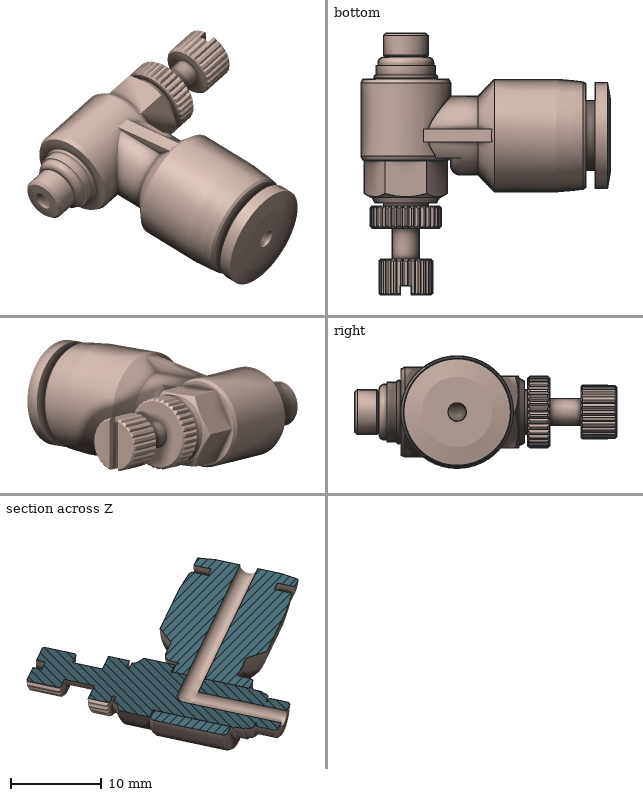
import cadquery as cq
import math


barrel_radius = 5.0
barrel_top = 2.74
barrel_bottom = -6.25
barrel_bevel_width = 0.23
barrel_bevel_height = 0.45

neck_radius = 4.4
neck_end_x = 4.98
neck_end_round = 1.1
neck_ledge_y = 2.5
shoulder_start_x = 8.03
shoulder_end_x = 9.85
socket_radius = 6.25
taper_start_x = 16.75
taper_end_x = 18.75
taper_end_radius = 6.08
rim_start_x = 19.7
rim_start_radius = 5.97
rim_end_x = 20.0
rim_end_radius = 5.75
collar_neck_radius = 3.9
collar_start_x = 21.05
collar_radius = 5.9
collar_bevel_x = 22.4
collar_end_x = 22.75

rib_width = 1.48
rib_start_x = 1.98
rib_slope = math.radians(10)

valve_length = 29.1
valve_bottom = -11.38
thread_radius = 2.5
thread_bevel = 0.3
thread_top = -8.8
thread_top_bevel = 0.15
undercut_radius = 1.92
gasket_bottom = -8.7
gasket_radius = 3.1
gasket_round = 0.67
stud_radius = 3.32
stud_bottom = -7.8
bead_size = 0.23
hex_bottom = 2.82
hex_top = 6.87
hex_across_flats = 8.0
hex_bevel_start_radius = 3.87
hex_bevel_slope = math.radians(30)
cap_bottom_radius = 3.75
cap_top_radius = 3.43
cap_top = 7.48
nut_seat_radius = 2.5
nut_bottom = 7.8
nut_top = 10.3
nut_radius = 4.0
nut_bevel = 0.25
stem_radius = 1.5
head_bottom = 13.74
head_radius = 3.0
head_bevel = 0.2
valve_top = valve_bottom + valve_length

nut_groove_count = 34
nut_groove_width = 0.52
nut_groove_depth = 0.25
head_groove_count = 24
head_groove_width = 0.45
head_groove_depth = 0.2
slot_width = 1.2
slot_depth = 1.02

passage_radius = 1.02


def plane_across_valve(y):
    """Workplane at level y on the valve axis, with local x along X and its normal along +Y."""
    return cq.Workplane(cq.Plane(origin=(0, y, 0), xDir=(1, 0, 0), normal=(0, 1, 0)))


def revolve_about_y(profile):
    return profile.close().revolve(360, (0, 0, 0), (0, 1, 0))


def revolve_about_x(profile):
    return profile.close().revolve(360, (0, 0, 0), (1, 0, 0))


def make_passage():
    """Bore from the threaded end up to the tube axis, then out along X, with a ball-shaped corner."""
    inlet = plane_across_valve(valve_bottom).circle(passage_radius).extrude(-valve_bottom)
    corner = cq.Workplane("XY").sphere(passage_radius)
    outlet = cq.Workplane("YZ").circle(passage_radius).extrude(collar_end_x)
    return inlet.union(corner).union(outlet)


def make_barrel():
    bevel_radius = barrel_radius - barrel_bevel_width
    profile = cq.Workplane("XY").polyline([
        (0, barrel_bottom),
        (bevel_radius, barrel_bottom),
        (barrel_radius, barrel_bottom + barrel_bevel_height),
        (barrel_radius, barrel_top - barrel_bevel_height),
        (bevel_radius, barrel_top),
        (0, barrel_top),
    ])
    return revolve_about_y(profile)


def make_tube_side():
    """Rounded neck, tube socket and release collar as one turned shape."""
    round_middle = neck_end_round * math.sqrt(0.5)
    round_centre_x = neck_end_x + neck_end_round
    round_centre_r = neck_radius - neck_end_round
    profile = (
        cq.Workplane("XY")
        .moveTo(neck_end_x, 0)
        .lineTo(neck_end_x, round_centre_r)
        .threePointArc(
            (round_centre_x - round_middle, round_centre_r + round_middle),
            (round_centre_x, neck_radius),
        )
        .lineTo(shoulder_start_x, neck_radius)
        .lineTo(shoulder_end_x, socket_radius)
        .lineTo(taper_start_x, socket_radius)
        .lineTo(taper_end_x, taper_end_radius)
        .lineTo(rim_start_x, rim_start_radius)
        .lineTo(rim_end_x, rim_end_radius)
        .lineTo(rim_end_x, collar_neck_radius)
        .lineTo(collar_start_x, collar_neck_radius)
        .lineTo(collar_start_x, collar_radius)
        .lineTo(collar_bevel_x, collar_radius)
        .lineTo(collar_end_x, collar_neck_radius)
        .lineTo(collar_end_x, 0)
    )
    return revolve_about_x(profile)


def make_neck_root():
    """Part of the neck below the ledge, running into the barrel."""
    length = neck_end_x + neck_end_round
    root = cq.Workplane("YZ").circle(neck_radius).extrude(length)
    above_ledge = cq.Workplane("XY").box(
        length, neck_radius, 2 * neck_radius, centered=(False, False, True)
    )
    return root.cut(above_ledge.translate((0, neck_ledge_y, 0)))


def make_ribs():
    """One tapered plate through the neck, showing as a rib above and below it."""
    start_z = math.sqrt(barrel_radius**2 - rib_start_x**2)
    end_z = start_z + (shoulder_end_x - rib_start_x) * math.tan(rib_slope)
    return (
        cq.Workplane("XZ")
        .polyline([
            (rib_start_x, -start_z),
            (shoulder_end_x, -end_z),
            (shoulder_end_x, end_z),
            (rib_start_x, start_z),
        ])
        .close()
        .extrude(rib_width / 2, both=True)
    )


def make_elbow():
    valve_bore = (
        plane_across_valve(barrel_bottom).circle(stud_radius).extrude(barrel_top - barrel_bottom)
    )
    return (
        make_barrel()
        .union(make_tube_side())
        .union(make_neck_root())
        .union(make_ribs())
        .cut(valve_bore)
        .cut(make_passage())
    )


def make_stud():
    """Thread, gasket, bead and the plain shank that fills the barrel, up to the hexagon."""
    gasket_centre_r = gasket_radius - gasket_round
    gasket_centre_y = gasket_bottom + gasket_round
    gasket_middle = gasket_round * math.sqrt(0.5)
    bead_centre_y = barrel_bottom - bead_size
    profile = (
        cq.Workplane("XY")
        .moveTo(0, valve_bottom)
        .lineTo(thread_radius - thread_bevel, valve_bottom)
        .lineTo(thread_radius, valve_bottom + thread_bevel)
        .lineTo(thread_radius, thread_top - thread_top_bevel)
        .lineTo(thread_radius - thread_top_bevel, thread_top)
        .lineTo(undercut_radius, thread_top)
        .lineTo(undercut_radius, gasket_bottom)
        .lineTo(gasket_centre_r, gasket_bottom)
        .threePointArc(
            (gasket_centre_r + gasket_middle, gasket_centre_y - gasket_middle),
            (gasket_radius, gasket_centre_y),
        )
        .lineTo(gasket_radius, stud_bottom)
        .lineTo(stud_radius, stud_bottom)
        .lineTo(stud_radius, bead_centre_y - bead_size)
        .threePointArc((stud_radius + bead_size, bead_centre_y), (stud_radius, barrel_bottom))
        .lineTo(stud_radius, hex_bottom)
        .lineTo(0, hex_bottom)
    )
    return revolve_about_y(profile)


def make_hexagon():
    """Hexagon with corners on X and a conical bevel on its upper end."""
    across_corners = hex_across_flats / math.cos(math.pi / 6)
    hexagon = plane_across_valve(hex_bottom).polygon(6, across_corners).extrude(hex_top - hex_bottom)
    bevel_end_radius = across_corners
    bevel_drop = (bevel_end_radius - hex_bevel_start_radius) * math.tan(hex_bevel_slope)
    envelope = cq.Workplane("XY").polyline([
        (0, hex_bottom),
        (bevel_end_radius, hex_bottom),
        (bevel_end_radius, hex_top - bevel_drop),
        (hex_bevel_start_radius, hex_top),
        (0, hex_top),
    ])
    return hexagon.intersect(revolve_about_y(envelope))


def make_cap_and_stem():
    """Conical cap on the hexagon, nut seat and the stem up to the head."""
    profile = cq.Workplane("XY").polyline([
        (0, hex_top),
        (cap_bottom_radius, hex_top),
        (cap_top_radius, cap_top),
        (nut_seat_radius, cap_top),
        (nut_seat_radius, nut_bottom),
        (stem_radius, nut_bottom),
        (stem_radius, head_bottom),
        (0, head_bottom),
    ])
    return revolve_about_y(profile)


def make_knurled_disc(bottom, top, radius, bevel, count, groove_width, groove_depth, first_angle):
    """Bevelled disc with V grooves along its rim; first_angle places the first groove."""
    height = top - bottom
    disc = plane_across_valve(bottom).circle(radius).extrude(height).edges().chamfer(bevel)
    cutter = (
        plane_across_valve(bottom)
        .polyline([
            (radius - groove_depth, 0),
            (radius + groove_depth, groove_width),
            (radius + groove_depth, -groove_width),
        ])
        .close()
        .extrude(height)
    )
    for index in range(count):
        angle = first_angle + index * 360 / count
        disc = disc.cut(cutter.rotate((0, 0, 0), (0, 1, 0), angle))
    return disc


def make_nut():
    return make_knurled_disc(
        nut_bottom, nut_top, nut_radius, nut_bevel,
        nut_groove_count, nut_groove_width, nut_groove_depth, first_angle=0,
    )


def make_head():
    """Knurled head with a tooth on each axis and a screwdriver slot along Z."""
    half_pitch = 180 / head_groove_count
    head = make_knurled_disc(
        head_bottom, valve_top, head_radius, head_bevel,
        head_groove_count, head_groove_width, head_groove_depth, first_angle=half_pitch,
    )
    slot = (
        plane_across_valve(valve_top - slot_depth)
        .rect(slot_width, 2 * head_radius)
        .extrude(slot_depth)
    )
    return head.cut(slot)


def make_valve():
    return (
        make_stud()
        .union(make_hexagon())
        .union(make_cap_and_stem())
        .union(make_nut())
        .union(make_head())
        .cut(make_passage())
    )


elbow = make_elbow()
valve = make_valve()

result = cq.Compound.makeCompound([elbow.val(), valve.val()])